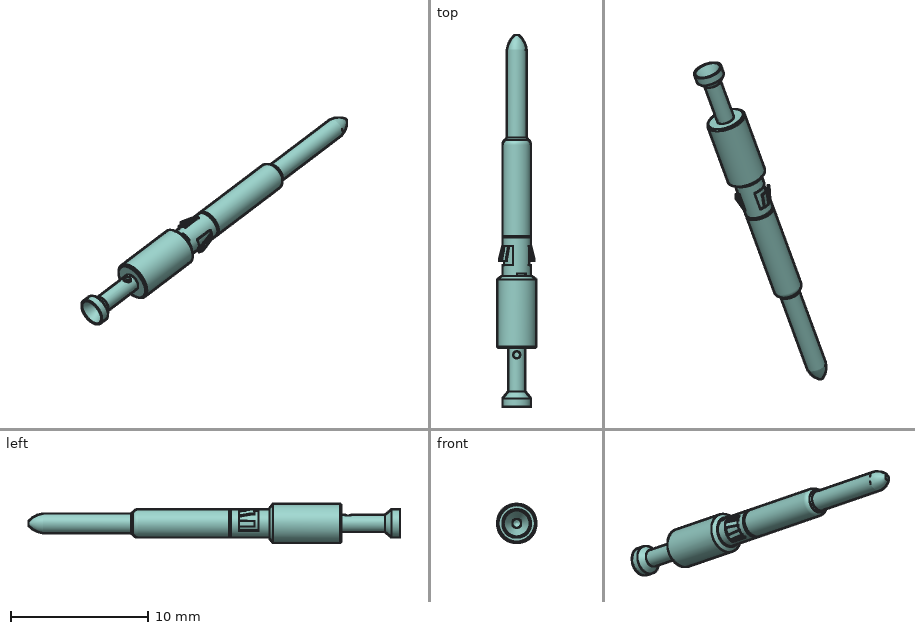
import cadquery as cq
import math

length = 27.07

pin_radius = 1.45 / 2
nose_start = 26.0
nose_tip_radius = 0.15
nose_bulge_y = 26.65
nose_bulge_radius = 0.51

barrel_radius = 2.08 / 2
barrel_front = 19.6
shoulder_radius = 0.85
shoulder_y = 19.44
shoulder_bulge_radius = 0.97
shoulder_bulge_y = 19.3
barrel_round_start = 19.05
groove_radius = 2.03 / 2
groove_front = 12.45
groove_back = 12.32

flange_radius = 2.87 / 2
flange_front = 9.53
flange_back = 4.28
flange_front_chamfer = 0.27
flange_shoulder_radius = 1.1
flange_back_chamfer = 0.1

stem_radius = 1.27 / 2
flare_start = 1.1
cup_radius = barrel_radius
cup_length = 0.62
cup_mouth_radius = 1.9 / 2
bore_radius = 0.65 / 2
cup_cone_depth = 1.1
bore_depth = 4.2
drill_half_angle = 59.0
inspection_hole_radius = 0.51 / 2
inspection_hole_y = 3.8

sleeve_thickness = 0.1
core_radius = barrel_radius - sleeve_thickness
window_front = 11.72
window_back = 10.31
window_angle = 105.0
clip_tilt = 21.5
tongue_width = 0.4
tongue_spread = 22.0
tongue_bend_y = 10.77
tongue_tip_y = 10.6
tongue_flare = 0.25

notch_length = 0.15
notch_angle = 40.0



def sector(profile, angle, center_angle):
    """Revolve an XY profile about Y, centred on center_angle above the -X side."""
    solid = profile.revolve(angle, (0, 0, 0), (0, 1, 0))
    return solid.rotate((0, 0, 0), (0, 1, 0), 180 + center_angle - angle / 2)


def turned_body():
    profile = (
        cq.Workplane("XY")
        .lineTo(cup_radius, 0)
        .lineTo(cup_radius, cup_length)
        .lineTo(stem_radius, flare_start)
        .lineTo(stem_radius, flange_back)
        .lineTo(flange_radius - flange_back_chamfer, flange_back)
        .lineTo(flange_radius, flange_back + flange_back_chamfer)
        .lineTo(flange_radius, flange_front - flange_front_chamfer)
        .lineTo(flange_shoulder_radius, flange_front)
        .lineTo(barrel_radius, flange_front)
        .lineTo(barrel_radius, groove_back)
        .lineTo(groove_radius, groove_back)
        .lineTo(groove_radius, groove_front)
        .lineTo(barrel_radius, groove_front)
        .lineTo(barrel_radius, barrel_round_start)
        .threePointArc((shoulder_bulge_radius, shoulder_bulge_y), (shoulder_radius, shoulder_y))
        .lineTo(pin_radius, barrel_front)
        .lineTo(pin_radius, nose_start)
        .threePointArc((nose_bulge_radius, nose_bulge_y), (nose_tip_radius, length))
        .lineTo(0, length)
        .close()
    )
    return profile.revolve(360, (0, 0, 0), (0, 1, 0))


def solder_bore():
    drill_tip = bore_radius / math.tan(math.radians(drill_half_angle))
    profile = (
        cq.Workplane("XY")
        .lineTo(cup_mouth_radius, 0)
        .lineTo(bore_radius, cup_cone_depth)
        .lineTo(bore_radius, bore_depth)
        .lineTo(0, bore_depth + drill_tip)
        .close()
    )
    return profile.revolve(360, (0, 0, 0), (0, 1, 0))


def inspection_hole():
    return (
        cq.Workplane("XY")
        .center(0, inspection_hole_y)
        .circle(inspection_hole_radius)
        .extrude(flange_radius)
    )


def sleeve_pocket(back, front, angle, center_angle):
    profile = cq.Workplane("XY").polyline([
        (core_radius, back),
        (flange_radius, back),
        (flange_radius, front),
        (core_radius, front),
    ]).close()
    return sector(profile, angle, center_angle)


def tongue(center_angle):
    """A flat strip that leans out of the window and ends in a short straight tip."""
    strip = cq.Workplane("XY").polyline([
        (core_radius, window_front),
        (core_radius + tongue_flare, tongue_bend_y),
        (core_radius + tongue_flare, tongue_tip_y),
        (barrel_radius + tongue_flare, tongue_tip_y),
        (barrel_radius + tongue_flare, tongue_bend_y),
        (barrel_radius, window_front),
    ]).close().extrude(tongue_width / 2, both=True)
    return strip.rotate((0, 0, 0), (0, 1, 0), 180 + center_angle)


result = turned_body().cut(solder_bore()).cut(inspection_hole())
for side_angle in (0, 180):
    clip_angle = clip_tilt + side_angle
    result = result.cut(sleeve_pocket(window_back, window_front, window_angle, clip_angle))
    for spread in (-tongue_spread, tongue_spread):
        result = result.union(tongue(clip_angle + spread))

result = result.cut(
    sleeve_pocket(flange_front, flange_front + notch_length, notch_angle, clip_tilt + 90)
)